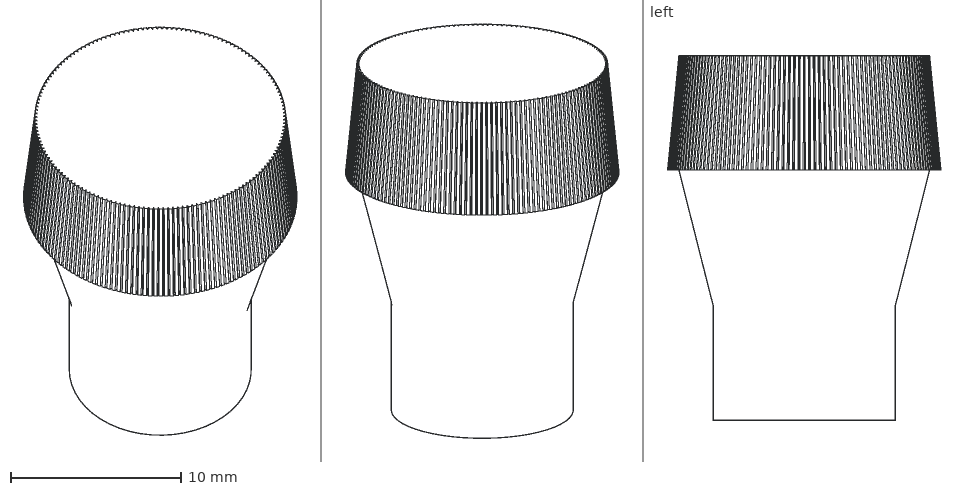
import cadquery as cq
import math

total_height = 21.43
stem_radius = 5.35
stem_height = 6.73
head_height = stem_height
head_base = total_height - head_height
head_base_radius = 8.04
head_top_radius = 7.37
neck_top_radius = head_top_radius

groove_count = 160
groove_depth = 0.13
groove_share = 0.38


def revolved_body():
    """Plain stem and flared neck, reaching up to the underside of the head."""
    profile = [
        (0, 0),
        (stem_radius, 0),
        (stem_radius, stem_height),
        (neck_top_radius, head_base),
        (0, head_base),
    ]
    return cq.Workplane("XZ").polyline(profile).close().revolve(360, (0, 0), (0, 1))


def serrated_outline(tip_radius):
    """Closed points of a circle cut by V grooves, the first groove lying on +X."""
    pitch = 2 * math.pi / groove_count
    half_mouth = pitch * groove_share / 2
    root_radius = tip_radius - groove_depth
    points = []
    for index in range(groove_count):
        middle = index * pitch
        for radius, angle in (
            (tip_radius, middle - half_mouth),
            (root_radius, middle),
            (tip_radius, middle + half_mouth),
        ):
            points.append((radius * math.cos(angle), radius * math.sin(angle)))
    return points


def serrated_head():
    """Tapered head whose V grooves run from its underside to its flat top."""
    return (
        cq.Workplane("XY", origin=(0, 0, head_base))
        .polyline(serrated_outline(head_base_radius))
        .close()
        .workplane(offset=head_height)
        .polyline(serrated_outline(head_top_radius))
        .close()
        .loft(ruled=True)
    )


result = revolved_body().union(serrated_head())